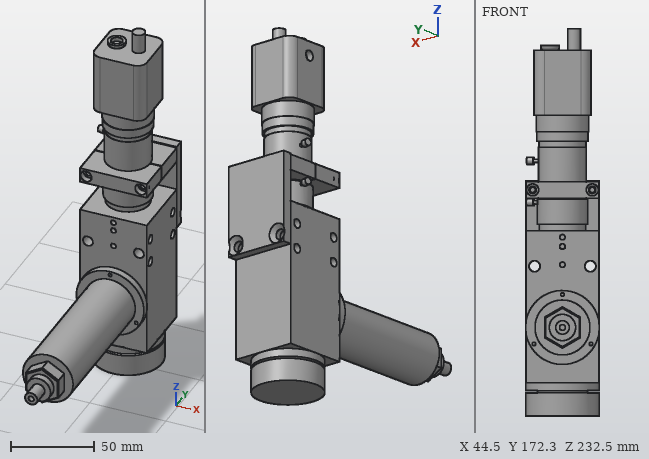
import cadquery as cq
import math


block_width = 44.0
block_front_y = -21.8
block_back_y = 22.3
block_bottom_z = 20.2
block_top_z = 111.0

cross_hole_dia = 5.5
cross_hole_ys = (-16.5, 16.5)
cross_hole_zs = (82.3, 98.0)
mount_hole_dia = 6.5
mount_hole_x = 16.7
mount_hole_z = 90.0
front_tap_dia = 3.3
front_tap_depth = 7.0
front_tap_zs = (90.9, 101.8, 107.4)

plate_thickness = 6.5
plate_bottom_z = 83.7
plate_top_z = 141.3
plate_back_y = block_back_y + plate_thickness
countersink_dia = 12.3
countersink_angle = 90

clamp_top_z = 140.5
clamp_height = 9.8
clamp_bottom_z = clamp_top_z - clamp_height
clamp_gap = 0.7
clamp_screw_x = 18.0
clamp_screw_z = clamp_bottom_z + clamp_height / 2
clamp_head_dia = 7.2
clamp_head_depth = 4.5
clamp_clearance_dia = 4.5
clamp_tap_dia = 3.3
clamp_tap_depth = 9.3

foot_dia = 27.7
grip_dia = 30.2
barrel_dia = 28.8
neck_dia = 28.4
rim_dia = 31.0
grip_bottom_z = 115.3
grip_clearance = 0.7
grip_top_z = clamp_bottom_z - grip_clearance
barrel_top_z = 161.3
neck_top_z = 164.8
rim_top_z = 170.5

thumb_screw_zs = (128.3, 153.2)
thumb_screw_turn = 15
thumb_head_dia = 4.5
thumb_stem_dia = 2.0
thumb_head_start = 18.0
thumb_head_end = 21.8

camera_collar_dia = 31.5
camera_side = 34.5
camera_corner_radius = 6.3
camera_bottom_z = 180.4
camera_top_z = 219.6
camera_port_dia = 6.5
camera_port_z = 210.5
camera_port_depth = 4.6
cable_dia = 8.0
cable_x = 7.0
cable_top_z = 232.5
socket_x = -7.5
socket_dia = 11.2
socket_root_dia = 9.3
socket_bore_dia = 7.2
socket_lip_z = 221.0
socket_top_z = 222.5

objective_dia = 44.5
objective_neck_dia = 30.2
objective_height = 14.0
objective_flange_z = 15.3

illuminator_z = 53.2
flange_dia = 44.5
flange_end_y = -26.7
tube_dia = 33.0
tube_end_y = -118.5
nut_sides = 6
nut_across_flats = 21.4
nut_end_y = -127.5
nut_chamfer = 0.7
collar_dia = 15.8
collar_end_y = -132.5
pipe_dia = 8.1
pipe_end_y = -143.5
pipe_bore_dia = 3.5
flange_screw_count = 3
first_flange_screw_angle = 90
flange_screw_dia = 2.0
flange_screw_circle_radius = 19.8


def upright_cylinder(diameter, bottom_z, top_z, x=0.0):
    """Cylinder along Z with its axis at (x, 0)."""
    return cq.Workplane("XY", origin=(x, 0, bottom_z)).circle(diameter / 2).extrude(top_z - bottom_z)


def cylinder_toward_front(diameter, start_y, end_y, x, z):
    """Cylinder along -Y from start_y to end_y."""
    return cq.Workplane("XZ", origin=(x, start_y, z)).circle(diameter / 2).extrude(start_y - end_y)


def box_between(width, front_y, back_y, bottom_z, top_z):
    """Box centred on X = 0."""
    size = (width, back_y - front_y, top_z - bottom_z)
    return cq.Workplane("XY", origin=(0, front_y, bottom_z)).box(*size, centered=(True, False, False))


def make_housing():
    housing = box_between(block_width, block_front_y, block_back_y, block_bottom_z, block_top_z)
    cross_points = [(y, z) for y in cross_hole_ys for z in cross_hole_zs]
    cross_holes = (
        cq.Workplane("YZ").pushPoints(cross_points).circle(cross_hole_dia / 2).extrude(block_width, both=True)
    )
    housing = housing.cut(cross_holes)
    for side in (-1, 1):
        x = side * mount_hole_x
        housing = housing.cut(
            cylinder_toward_front(mount_hole_dia, block_back_y, block_front_y, x, mount_hole_z)
        )
    for z in front_tap_zs:
        tap_end_y = block_front_y + front_tap_depth
        housing = housing.cut(cylinder_toward_front(front_tap_dia, tap_end_y, block_front_y, 0, z))
    return housing


def make_back_plate():
    plate = box_between(block_width, block_back_y, plate_back_y, plate_bottom_z, plate_top_z)
    screw_points = [(-mount_hole_x, mount_hole_z), (mount_hole_x, mount_hole_z)]
    return (
        plate.faces(">Y")
        .workplane(origin=(0, plate_back_y, 0))
        .pushPoints(screw_points)
        .cskHole(mount_hole_dia, countersink_dia, countersink_angle)
    )


def make_clamp_half(front_y, back_y):
    """Half of the split clamp, bored to hold the lens barrel."""
    half = box_between(block_width, front_y, back_y, clamp_bottom_z, clamp_top_z)
    return half.cut(upright_cylinder(barrel_dia, clamp_bottom_z, clamp_top_z))


def make_front_clamp():
    back_y = -clamp_gap / 2
    clamp = make_clamp_half(block_front_y, back_y)
    head_end_y = block_front_y + clamp_head_depth
    for x in (-clamp_screw_x, clamp_screw_x):
        clamp = clamp.cut(cylinder_toward_front(clamp_clearance_dia, back_y, block_front_y, x, clamp_screw_z))
        clamp = clamp.cut(cylinder_toward_front(clamp_head_dia, head_end_y, block_front_y, x, clamp_screw_z))
    return clamp


def make_rear_clamp():
    front_y = clamp_gap / 2
    clamp = make_clamp_half(front_y, block_back_y)
    tap_end_y = front_y + clamp_tap_depth
    for x in (-clamp_screw_x, clamp_screw_x):
        clamp = clamp.cut(cylinder_toward_front(clamp_tap_dia, tap_end_y, front_y, x, clamp_screw_z))
    return clamp


def make_thumb_screw(z):
    """Radial thumb screw on the -X side, turned a little toward +Y."""
    outward = cq.Workplane("YZ", origin=(0, 0, z))
    stem = outward.circle(thumb_stem_dia / 2).extrude(-thumb_head_start)
    head = outward.workplane(offset=-thumb_head_start).circle(thumb_head_dia / 2)
    head = head.extrude(thumb_head_start - thumb_head_end)
    return stem.union(head).rotate((0, 0, 0), (0, 0, 1), -thumb_screw_turn)


def make_lens():
    lens = upright_cylinder(foot_dia, block_top_z, grip_bottom_z)
    lens = lens.union(upright_cylinder(grip_dia, grip_bottom_z, grip_top_z))
    lens = lens.union(upright_cylinder(barrel_dia, grip_top_z, barrel_top_z))
    lens = lens.union(upright_cylinder(neck_dia, barrel_top_z, neck_top_z))
    lens = lens.union(upright_cylinder(rim_dia, neck_top_z, rim_top_z))
    for z in thumb_screw_zs:
        lens = lens.union(make_thumb_screw(z))
    return lens


def make_socket():
    """Flared connector ring on top of the camera."""
    profile = (
        cq.Workplane("XZ")
        .moveTo(socket_bore_dia / 2, socket_top_z)
        .lineTo(socket_dia / 2, socket_top_z)
        .lineTo(socket_dia / 2, socket_lip_z)
        .tangentArcPoint((socket_root_dia / 2, camera_top_z), relative=False)
        .lineTo(socket_bore_dia / 2, camera_top_z)
        .close()
    )
    return profile.revolve(360, (0, 0, 0), (0, 1, 0)).translate((socket_x, 0, 0))


def make_camera():
    half_side = camera_side / 2
    camera = box_between(camera_side, -half_side, half_side, camera_bottom_z, camera_top_z)
    camera = camera.edges("|Z").fillet(camera_corner_radius)
    port = (
        cq.Workplane("YZ", origin=(-half_side, 0, camera_port_z))
        .circle(camera_port_dia / 2)
        .extrude(camera_port_depth)
    )
    return (
        camera.cut(port)
        .union(upright_cylinder(camera_collar_dia, rim_top_z, camera_bottom_z))
        .union(upright_cylinder(cable_dia, camera_top_z, cable_top_z, cable_x))
        .union(make_socket())
    )


def make_objective():
    objective = upright_cylinder(objective_dia, 0, objective_height)
    objective = objective.union(upright_cylinder(objective_neck_dia, objective_height, objective_flange_z))
    return objective.union(upright_cylinder(objective_dia, objective_flange_z, block_bottom_z))


def make_nut():
    """Hexagonal nut with corners up and down and its front edges chamfered."""
    half_side_angle = 180 / nut_sides
    across_corners = nut_across_flats / math.cos(math.radians(half_side_angle))
    length = tube_end_y - nut_end_y
    plane = cq.Workplane("XZ", origin=(0, tube_end_y, illuminator_z))
    nut = plane.transformed(rotate=(0, 0, half_side_angle)).polygon(nut_sides, across_corners).extrude(length)
    return nut.faces("<Y").chamfer(nut_chamfer)


def make_illuminator():
    flange = cylinder_toward_front(flange_dia, block_front_y, flange_end_y, 0, illuminator_z)
    for index in range(flange_screw_count):
        angle = math.radians(first_flange_screw_angle + 360 * index / flange_screw_count)
        x = flange_screw_circle_radius * math.cos(angle)
        z = illuminator_z + flange_screw_circle_radius * math.sin(angle)
        flange = flange.cut(cylinder_toward_front(flange_screw_dia, block_front_y, flange_end_y, x, z))
    return (
        flange.union(cylinder_toward_front(tube_dia, flange_end_y, tube_end_y, 0, illuminator_z))
        .union(make_nut())
        .union(cylinder_toward_front(collar_dia, nut_end_y, collar_end_y, 0, illuminator_z))
        .union(cylinder_toward_front(pipe_dia, collar_end_y, pipe_end_y, 0, illuminator_z))
        .cut(cylinder_toward_front(pipe_bore_dia, collar_end_y, pipe_end_y, 0, illuminator_z))
    )


housing = make_housing()
back_plate = make_back_plate()
front_clamp = make_front_clamp()
rear_clamp = make_rear_clamp()
lens = make_lens()
camera = make_camera()
objective = make_objective()
illuminator = make_illuminator()

bodies = [housing, back_plate, front_clamp, rear_clamp, lens, camera, objective, illuminator]
result = cq.Compound.makeCompound([body.val() for body in bodies])